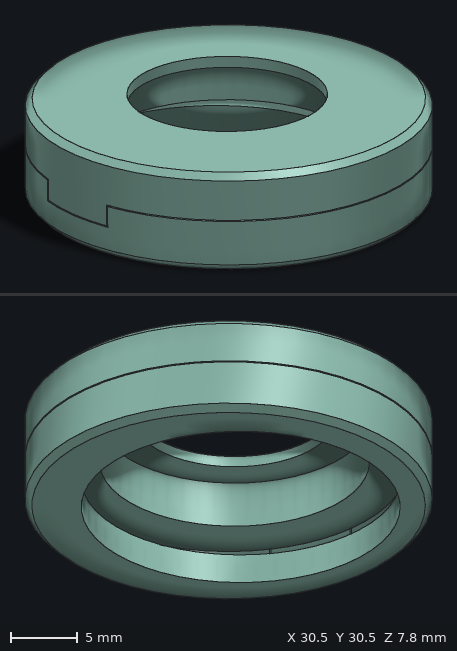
import cadquery as cq

outer_diameter = 30.5
total_height = 7.8
rim_chamfer = 0.52

clearance = 0.1

top_z = total_height / 2
bottom_z = -top_z
base_wall_height = 4.03
floor_thickness = 2.35
plate_thickness = 0.88
skirt_bottom_z = -0.65
seam_z = bottom_z + base_wall_height
floor_z = bottom_z + floor_thickness
cover_rim_z = seam_z + clearance
key_bottom_z = floor_z + clearance

offset_x = -0.73
window_y = 0.52
window_diameter = 15.0
cavity_diameter = 20.2
bore_y = -0.58
bore_diameter = 23.88

recess_diameter = 26.85
skirt_diameter = recess_diameter - 2 * clearance

slot_width = 6.95
slot_side_gap = 0.12
key_width = slot_width - 2 * slot_side_gap


def disc(diameter, z_low, z_high, x=0.0, y=0.0):
    """Vertical cylinder between two heights."""
    return cq.Workplane("XY", origin=(x, y, z_low)).circle(diameter / 2).extrude(z_high - z_low)


def wall_segment(width, z_low, z_high):
    """Block on the -Y side from the skirt to the outside, with parallel sides centred on offset_x."""
    radius = outer_diameter / 2
    bar = (
        cq.Workplane("XY", origin=(offset_x, -radius / 2, z_low))
        .rect(width, radius)
        .extrude(z_high - z_low)
    )
    wall = disc(outer_diameter, z_low, z_high).cut(disc(skirt_diameter, z_low, z_high))
    return wall.intersect(bar)


def make_cover():
    """Upper ring with a round window, a wider cavity, a skirt and a key."""
    rim = disc(outer_diameter, cover_rim_z, top_z).faces(">Z").edges().chamfer(rim_chamfer)
    skirt = disc(skirt_diameter, skirt_bottom_z, cover_rim_z)
    key = wall_segment(key_width, key_bottom_z, cover_rim_z)
    window = disc(window_diameter, skirt_bottom_z, top_z, offset_x, window_y)
    cavity = disc(cavity_diameter, skirt_bottom_z, top_z - plate_thickness, offset_x, window_y)
    return rim.union(skirt).union(key).cut(window).cut(cavity)


def make_base():
    """Lower ring with a recess for the skirt, an eccentric bore and a slot for the key."""
    ring = disc(outer_diameter, bottom_z, seam_z).faces("<Z").edges().chamfer(rim_chamfer)
    recess = disc(recess_diameter, floor_z, seam_z)
    bore = disc(bore_diameter, bottom_z, floor_z, offset_x, bore_y)
    slot = wall_segment(slot_width, floor_z, seam_z)
    return ring.cut(recess).cut(bore).cut(slot)


cover = make_cover()
base = make_base()

result = cq.Compound.makeCompound([cover.val(), base.val()])